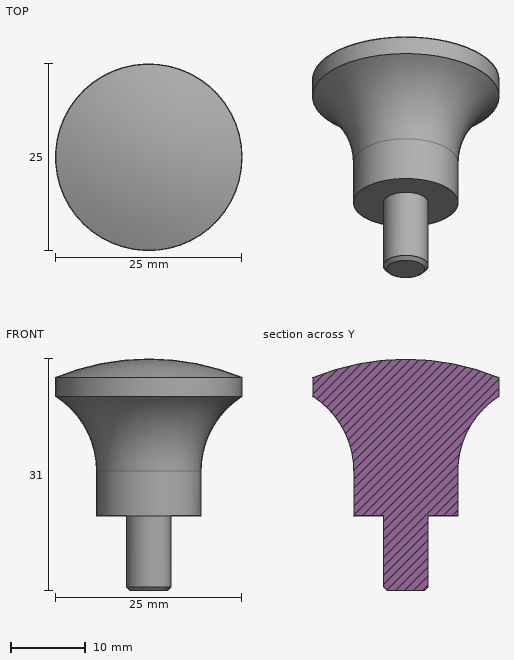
import cadquery as cq
import math

total_height = 31.0
head_radius = 12.5
collar_radius = 7.0
stud_radius = 3.0
stud_length = 10.0
collar_height = 5.98
flare_height = 10.0
rim_height = 2.5
stud_chamfer = 0.5

collar_top = stud_length + collar_height
rim_bottom = collar_top + flare_height
rim_top = rim_bottom + rim_height

flare_spread = head_radius - collar_radius
flare_radius = (flare_spread**2 + flare_height**2) / (2 * flare_spread)
half_sweep = math.asin(flare_height / flare_radius) / 2
flare_middle = (
    collar_radius + flare_radius * (1 - math.cos(half_sweep)),
    collar_top + flare_radius * math.sin(half_sweep),
)

dome_height = total_height - rim_top
dome_radius = (head_radius**2 + dome_height**2) / (2 * dome_height)
dome_half_angle = math.asin(head_radius / dome_radius) / 2
dome_middle = (
    dome_radius * math.sin(dome_half_angle),
    total_height - dome_radius * (1 - math.cos(dome_half_angle)),
)

profile = (
    cq.Workplane("XZ")
    .moveTo(0, 0)
    .lineTo(stud_radius - stud_chamfer, 0)
    .lineTo(stud_radius, stud_chamfer)
    .lineTo(stud_radius, stud_length)
    .lineTo(collar_radius, stud_length)
    .lineTo(collar_radius, collar_top)
    .threePointArc(flare_middle, (head_radius, rim_bottom))
    .lineTo(head_radius, rim_top)
    .threePointArc(dome_middle, (0, total_height))
    .close()
)
result = profile.revolve(360, (0, 0, 0), (0, 1, 0))